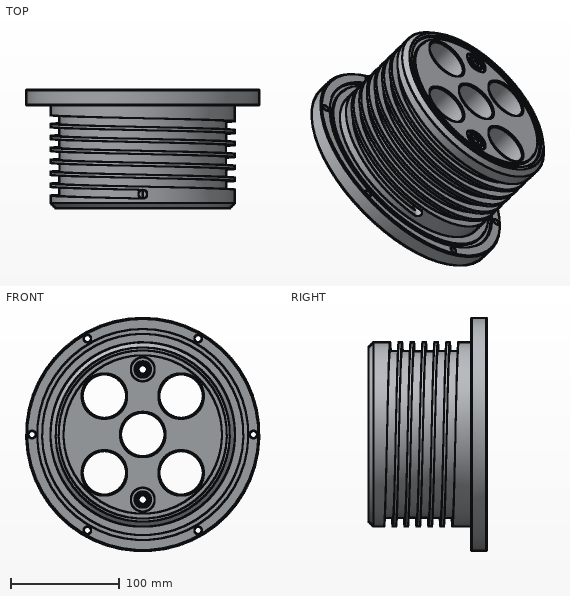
import cadquery as cq
import math

LENGTH = 109.5
FLANGE_DIAMETER = 215.0
FLANGE_THICKNESS = 15.0
FLANGE_CHAMFER = 1.0
BODY_DIAMETER = 170.0
NOSE_CHAMFER = 4.75
FLANGE_FRONT = LENGTH - FLANGE_THICKNESS

CHANNEL_WIDTH = 8.0
CHANNEL_DEPTH = 8.0
CHANNEL_PITCH = 11.0
CHANNEL_TURNS = 6.5
CHANNEL_START = 13.0
CHANNEL_END = CHANNEL_START + CHANNEL_PITCH * CHANNEL_TURNS
CHANNEL_OVERCUT = 1.0
CHANNEL_ROOT_RADIUS = BODY_DIAMETER / 2 - CHANNEL_DEPTH

SEAL_WIDTH = 4.5
SEAL_DEPTH = 2.5
NOSE_SEAL_INNER_DIAMETER = 146.0
FLANGE_SEAL_INNER_DIAMETER = 185.5

BORE_DIAMETER = 40.0
BORE_CHAMFER = 1.0
BORE_CIRCLE_DIAMETER = 100.0
BORE_COUNT = 4
BORE_FIRST_ANGLE = 45.0

PORT_DIAMETER = 8.0
PORT_SINK_DIAMETER = 11.5
PORT_SINK_DEPTH = (PORT_SINK_DIAMETER - PORT_DIAMETER) / 2
PORT_OFFSET = 60.0
PORT_SEAL_OUTER_DIAMETER = 22.0
PORT_SEAL_INNER_DIAMETER = 15.0
PORT_SEAL_DEPTH = 2.0

SCREW_DIAMETER = 6.6
SCREW_CIRCLE_DIAMETER = 204.0
SCREW_COUNT = 6


def cylinder(diameter, start, depth, x=0.0, z=0.0):
    """Cylinder along +Y from y = start."""
    return cq.Workplane(cq.Solid.makeCylinder(
        diameter / 2, depth, cq.Vector(x, start, z), cq.Vector(0, 1, 0)))


def cone(front_diameter, back_diameter, start, depth, x, z):
    """Cone along +Y from y = start."""
    return cq.Workplane(cq.Solid.makeCone(
        front_diameter / 2, back_diameter / 2, depth, cq.Vector(x, start, z), cq.Vector(0, 1, 0)))


def ring(inner_diameter, outer_diameter, start, depth, z=0.0):
    """Ring-shaped cutter along +Y from y = start."""
    outer = cylinder(outer_diameter, start, depth, z=z)
    return outer.cut(cylinder(inner_diameter, start, depth, z=z))


def circle_points(count, diameter, first_angle=0.0):
    """Evenly spaced (x, z) points on a circle."""
    angles = [math.radians(first_angle + 360.0 * i / count) for i in range(count)]
    return [(diameter / 2 * math.cos(a), diameter / 2 * math.sin(a)) for a in angles]


def plug_blank():
    body = cylinder(BODY_DIAMETER, 0, LENGTH).faces("<Y").chamfer(NOSE_CHAMFER)
    flange = cylinder(FLANGE_DIAMETER, FLANGE_FRONT, FLANGE_THICKNESS)
    return body.union(flange.faces("<Y or >Y").edges().chamfer(FLANGE_CHAMFER))


def helical_channel():
    """Square channel winding from the top (+Z) through -X; the feed holes round off its ends."""
    travel = CHANNEL_END - CHANNEL_START
    cut_depth = CHANNEL_DEPTH + CHANNEL_OVERCUT
    path = cq.Wire.makeHelix(CHANNEL_PITCH, travel, CHANNEL_ROOT_RADIUS, lefthand=True)
    section_centre = CHANNEL_ROOT_RADIUS + cut_depth / 2
    section = cq.Workplane("XZ").center(section_centre, 0).rect(cut_depth, CHANNEL_WIDTH)
    channel = section.sweep(cq.Workplane(path), isFrenet=True)
    channel = channel.rotate((0, 0, 0), (1, 0, 0), -90)
    channel = channel.rotate((0, 0, 0), (0, 1, 0), -90)
    return channel.translate((0, CHANNEL_START, 0))


def seal_groove(inner_diameter, start):
    return ring(inner_diameter, inner_diameter + 2 * SEAL_WIDTH, start, SEAL_DEPTH)


def bore(x, z):
    mouth = cone(BORE_DIAMETER + 2 * BORE_CHAMFER, BORE_DIAMETER, 0, BORE_CHAMFER, x, z)
    return cylinder(BORE_DIAMETER, 0, LENGTH, x, z).union(mouth)


def feed_hole(y, side):
    """Radial hole joining one end of the channel to the port on the same side (+1 top, -1 bottom)."""
    start = cq.Vector(0, y, side * PORT_OFFSET)
    return cq.Workplane(cq.Solid.makeCylinder(
        CHANNEL_WIDTH / 2, BODY_DIAMETER / 2 - PORT_OFFSET, start, cq.Vector(0, 0, side)))


def port(z):
    sink = cone(PORT_SINK_DIAMETER, PORT_DIAMETER, 0, PORT_SINK_DEPTH, 0, z)
    groove = ring(PORT_SEAL_INNER_DIAMETER, PORT_SEAL_OUTER_DIAMETER, 0, PORT_SEAL_DEPTH, z)
    return cylinder(PORT_DIAMETER, 0, LENGTH, z=z).union(sink).union(groove)


result = plug_blank().cut(helical_channel())
result = result.cut(seal_groove(NOSE_SEAL_INNER_DIAMETER, 0))
result = result.cut(seal_groove(FLANGE_SEAL_INNER_DIAMETER, FLANGE_FRONT))
for x, z in [(0.0, 0.0)] + circle_points(BORE_COUNT, BORE_CIRCLE_DIAMETER, BORE_FIRST_ANGLE):
    result = result.cut(bore(x, z))
for z in (PORT_OFFSET, -PORT_OFFSET):
    result = result.cut(port(z))
for y, side in ((CHANNEL_START, 1), (CHANNEL_END, -1)):
    result = result.cut(feed_hole(y, side))
for x, z in circle_points(SCREW_COUNT, SCREW_CIRCLE_DIAMETER):
    result = result.cut(cylinder(SCREW_DIAMETER, FLANGE_FRONT, FLANGE_THICKNESS, x, z))